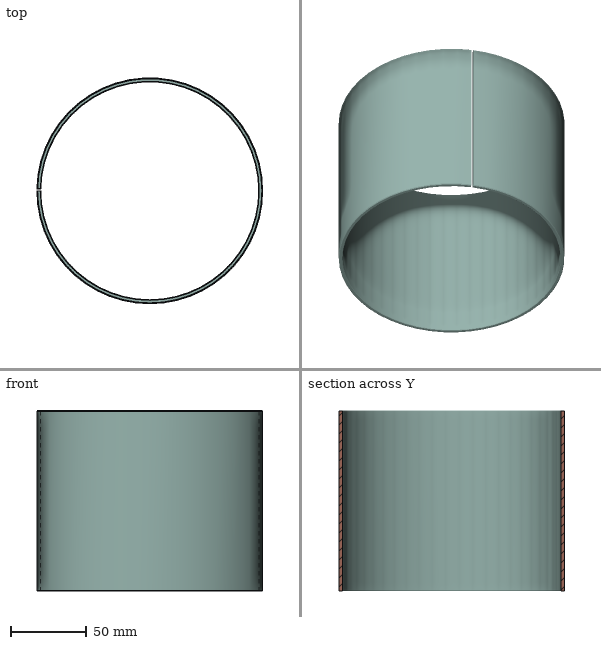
import cadquery as cq

outer_diameter = 150.0
height = 120.0
wall = 2.5
outer_chamfer = 0.5
bore_chamfer = 0.3
slit_width = 1.4

outer_radius = outer_diameter / 2
inner_radius = outer_radius - wall


def chamfered_tube():
    """Thin tube whose outer and bore rim edges carry different chamfers."""
    cylinder = cq.Workplane("XY").circle(outer_radius).extrude(height)
    tube = cylinder.faces("<Z or >Z").edges().chamfer(outer_chamfer)
    bore = cq.Workplane("XY").circle(inner_radius).extrude(height)
    tube = tube.cut(bore)
    bore_edges = tube.faces("<Z or >Z").edges(cq.selectors.RadiusNthSelector(0))
    return bore_edges.chamfer(bore_chamfer)


def slit_cutter():
    """Full-height slit through the -X wall, with one side on the XZ plane."""
    slit = cq.Workplane("XY").box(outer_radius, slit_width, height, centered=False)
    return slit.translate((-outer_radius, 0, 0))


result = chamfered_tube().cut(slit_cutter())